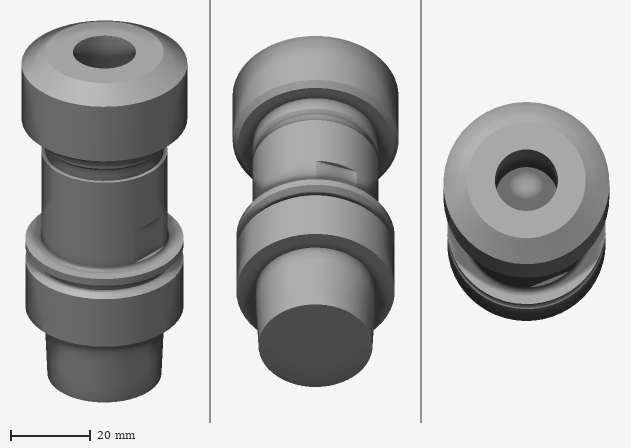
import cadquery as cq
import math

total_height = 95.0
taper_height = 19.95
flange_height = 20.0
nut_height = 21.0
flange_top = taper_height + flange_height
nut_bottom = total_height - nut_height

taper_small_radius = 14.4
taper_large_radius = 15.3

flange_radius = 20.0
flange_groove_radius = 17.4
groove_edge_radius = 18.3
lower_land_top = taper_height + 14.1
groove_floor_bottom = taper_height + 15.1
groove_floor_top = taper_height + 17.1
rim_bottom = taper_height + 18.05

body_radius = 16.0
body_fillet = 1.0
undercut_radius = 15.0
undercut_top = nut_bottom - 4.8
undercut_bottom = nut_bottom - 8.0
collar_bottom = undercut_top + body_radius - undercut_radius

nut_radius = 21.0
nut_face_radius = 15.0
nut_top_bevel = 3.4
nut_bottom_chamfer = 1.4

bore_diameter = 16.0
bore_depth = nut_height

flat_offset = 15.0
flat_height = 10.0
flat_bottom = flange_top + body_fillet


def turned_body():
    """Revolve the half profile, written from bottom to top, about Z."""
    fillet_middle = body_fillet * (1 - math.sqrt(0.5))
    profile = (
        cq.Workplane("XZ")
        .moveTo(0, 0)
        .lineTo(taper_small_radius, 0)
        .lineTo(taper_large_radius, taper_height)
        .lineTo(flange_radius, taper_height)
        .lineTo(flange_radius, lower_land_top)
        .lineTo(groove_edge_radius, groove_floor_bottom)
        .lineTo(flange_groove_radius, groove_floor_bottom)
        .lineTo(flange_groove_radius, groove_floor_top)
        .lineTo(groove_edge_radius, groove_floor_top)
        .lineTo(flange_radius, rim_bottom)
        .lineTo(flange_radius, flange_top)
        .lineTo(body_radius + body_fillet, flange_top)
        .threePointArc(
            (body_radius + fillet_middle, flange_top + fillet_middle),
            (body_radius, flange_top + body_fillet),
        )
        .lineTo(body_radius, undercut_bottom)
        .lineTo(undercut_radius, undercut_bottom)
        .lineTo(undercut_radius, undercut_top)
        .lineTo(body_radius, collar_bottom)
        .lineTo(body_radius, nut_bottom)
        .lineTo(nut_radius - nut_bottom_chamfer, nut_bottom)
        .lineTo(nut_radius, nut_bottom + nut_bottom_chamfer)
        .lineTo(nut_radius, total_height - nut_top_bevel)
        .lineTo(nut_face_radius, total_height)
        .lineTo(0, total_height)
        .close()
    )
    return profile.revolve(360, (0, 0, 0), (0, 1, 0))


def collet_bore():
    return (
        cq.Workplane("XY", origin=(0, 0, total_height - bore_depth))
        .circle(bore_diameter / 2)
        .extrude(bore_depth)
    )


def flat_cutter(side):
    """Block that removes the body beyond one flat; side is -1 or +1."""
    block_depth = flange_radius - flat_offset
    return (
        cq.Workplane("XY", origin=(side * (flat_offset + block_depth / 2), 0, flat_bottom))
        .box(block_depth, 2 * body_radius, flat_height, centered=(True, True, False))
    )


result = turned_body().cut(collet_bore())
for flat_side in (-1, 1):
    result = result.cut(flat_cutter(flat_side))